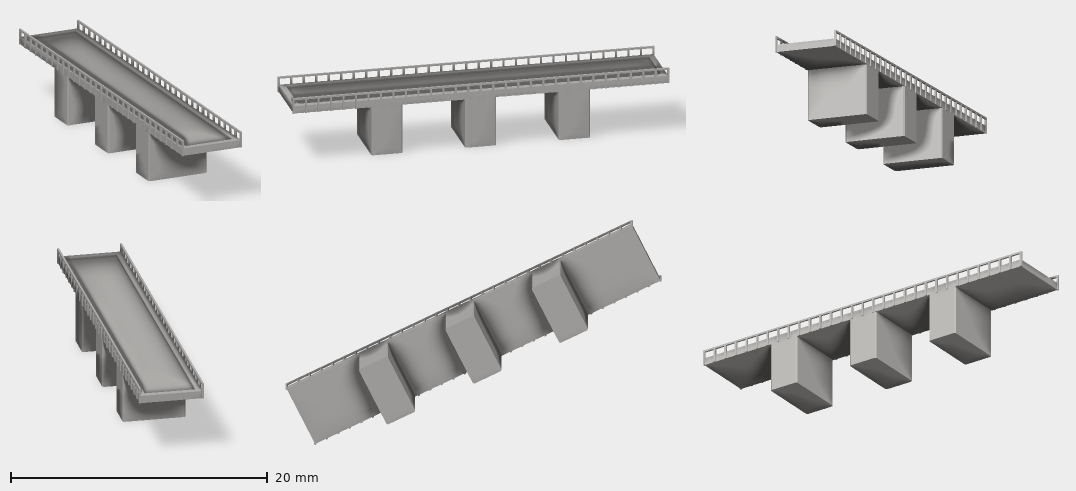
import cadquery as cq

overall_length = 30.15
overall_width = 5.15
overall_height = 5.28

bar_size = 0.15
post_count = 31

deck_length = overall_length - bar_size
deck_width = overall_width - bar_size
deck_thickness = 0.6
railing_rise = 0.65
deck_top = overall_height - railing_rise
deck_bottom = deck_top - deck_thickness

kerb_width = 0.48
roadway_depth = 0.2

pier_count = 3
pier_length = 2.5
pier_pitch = deck_length / (pier_count + 1)
pier_chamfer = 0.1


def block(length, width, bottom, top):
    """Box centred on the Z axis between two heights."""
    return (
        cq.Workplane("XY")
        .workplane(offset=bottom)
        .rect(length, width)
        .extrude(top - bottom)
    )


def centred_positions(count, pitch):
    """Evenly spaced positions, symmetric about zero."""
    return [(i - (count - 1) / 2) * pitch for i in range(count)]


def make_deck():
    deck = block(deck_length, deck_width, deck_bottom, deck_top)
    roadway = block(
        deck_length - 2 * kerb_width,
        deck_width - 2 * kerb_width,
        deck_top - roadway_depth,
        deck_top,
    )
    return deck.cut(roadway)


def make_pier():
    pier = block(pier_length, deck_width, 0, deck_bottom)
    return pier.edges("|Z").chamfer(pier_chamfer)


def make_railing():
    """Handrail on a row of posts that reach down to the underside of the deck."""
    railing = block(overall_length, bar_size, overall_height - bar_size, overall_height)
    post = block(bar_size, bar_size, deck_bottom, overall_height)
    post_pitch = deck_length / (post_count - 1)
    for x in centred_positions(post_count, post_pitch):
        railing = railing.union(post.translate((x, 0, 0)))
    return railing


result = make_deck()

pier = make_pier()
for x in centred_positions(pier_count, pier_pitch):
    result = result.union(pier.translate((x, 0, 0)))

railing = make_railing()
for y in (-deck_width / 2, deck_width / 2):
    result = result.union(railing.translate((0, y, 0)))